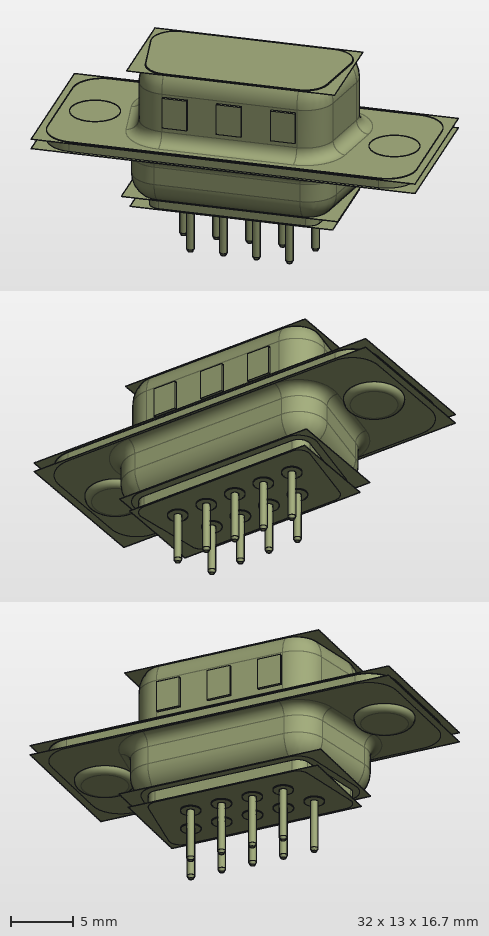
import cadquery as cq
import math

OVERALL_LENGTH = 32.03
OVERALL_HEIGHT = 16.72

FLANGE_LENGTH = 30.8
FLANGE_WIDTH = 12.52
FLANGE_THICKNESS = 0.9
FLANGE_CORNER = 2.5

SIDE_SLOPE = 10
SHELL_CORNER = 2.5

UPPER_LENGTH = 17.78
UPPER_WIDTH = 9.3
UPPER_TOP = 6.85
UPPER_ROUND_HEIGHT = 1.57
UPPER_ROUND_INSET = 0.55
UPPER_FILLET = 1.05

LOWER_LENGTH = 19.15
LOWER_WIDTH = 10.63
LOWER_BOTTOM = -4.23
LOWER_ROUND_HEIGHT = 1.75
LOWER_ROUND_INSET = 0.9
LOWER_FILLET = 0.93

FOOT_LENGTH = 16.27
FOOT_WIDTH = 7.75
FOOT_CORNER = 1.0
FOOT_BOTTOM = -5.3

SHEET_THICKNESS = 0.03
SHEET_STEP = 0.03
SHEET_RATIO = OVERALL_LENGTH / FLANGE_LENGTH

PAD_WIDTH = 2.05
PAD_HEIGHT = 2.63
PAD_BOTTOM = 2.4
PAD_PITCH = 4.52
PAD_COUNT = 3
PAD_RISE = 0.22

BOSS_OFFSET = 12.5
BOSS_POINTS = [(-BOSS_OFFSET, 0), (BOSS_OFFSET, 0)]
BOSS_RADIUS = 2.47
BOSS_HEIGHT = 0.58
BOSS_ROUND = 0.55
DIMPLE_RADIUS = 2.05
DIMPLE_DEPTH = 0.03

PIN_RADIUS = 0.32
PIN_BOTTOM = UPPER_TOP - OVERALL_HEIGHT
PIN_TIP_CHAMFER_LENGTH = 0.25
PIN_TIP_CHAMFER_INSET = 0.13
PIN_PITCH = 2.75
ROW_OFFSET = 1.45
WIDE_ROW_COUNT = 5
NARROW_ROW_COUNT = 4
SOCKET_TOP = LOWER_BOTTOM
COLLAR_RADIUS = 0.83
COLLAR_HEIGHT = 0.1


def d_outline(length, width, corner, z):
    """Closed D-shaped outline with rounded corners, starting at the middle of its narrow side."""
    slope = math.radians(SIDE_SLOPE)
    half_width = width / 2
    wide_x = length / 2 - corner
    wide_y = half_width - corner
    narrow_x = wide_x - 2 * wide_y * math.tan(slope)
    narrow_y = -wide_y

    def on_corner(x, y, angle):
        return (x + corner * math.cos(angle), y + corner * math.sin(angle))

    side = -slope
    narrow_mid = (side - math.pi / 2) / 2
    wide_mid = (side + math.pi / 2) / 2

    def mirrored(point):
        return (-point[0], point[1])

    narrow_arc_mid = on_corner(narrow_x, narrow_y, narrow_mid)
    narrow_arc_end = on_corner(narrow_x, narrow_y, side)
    wide_arc_start = on_corner(wide_x, wide_y, side)
    wide_arc_mid = on_corner(wide_x, wide_y, wide_mid)
    return (
        cq.Workplane("XY", origin=(0, 0, z))
        .moveTo(0, -half_width)
        .lineTo(narrow_x, -half_width)
        .threePointArc(narrow_arc_mid, narrow_arc_end)
        .lineTo(*wide_arc_start)
        .threePointArc(wide_arc_mid, (wide_x, half_width))
        .lineTo(-wide_x, half_width)
        .threePointArc(mirrored(wide_arc_mid), mirrored(wide_arc_start))
        .lineTo(*mirrored(narrow_arc_end))
        .threePointArc(mirrored(narrow_arc_mid), (-narrow_x, -half_width))
        .close()
    )


def d_shell(length, width, z_flange, z_end, round_height, round_inset):
    """D-shaped shell from the flange to z_end, its end edge rounded by an arc tangent to the wall."""
    direction = math.copysign(1, z_end - z_flange)
    shell = d_outline(length, width, SHELL_CORNER, z_flange).extrude(z_end - z_flange)

    z_tangent = z_end - direction * round_height
    arc_radius = (round_height**2 + round_inset**2) / (2 * round_inset)
    half_angle = math.asin(round_height / arc_radius) / 2
    wall_y = -width / 2
    arc_mid = (
        wall_y + arc_radius * (1 - math.cos(half_angle)),
        z_tangent + direction * arc_radius * math.sin(half_angle),
    )
    clearance = 0.32
    z_clear = z_end + direction * clearance
    waste = (
        cq.Workplane("YZ")
        .moveTo(wall_y, z_tangent)
        .threePointArc(arc_mid, (wall_y + round_inset, z_end))
        .lineTo(wall_y + round_inset, z_clear)
        .lineTo(wall_y - clearance, z_clear)
        .lineTo(wall_y - clearance, z_tangent)
        .close()
        .sweep(d_outline(length, width, SHELL_CORNER, z_tangent))
    )
    return shell.cut(waste)


def sheet(length, width, z_bottom):
    """Thin rectangular sheet around a flat face of the given length and width."""
    return (
        cq.Workplane("XY", origin=(0, 0, z_bottom))
        .rect(length * SHEET_RATIO, width * SHEET_RATIO)
        .extrude(SHEET_THICKNESS)
    )


def row_points(count, y):
    """Pin centres of one row, centred on X = 0."""
    return [((i - (count - 1) / 2) * PIN_PITCH, y) for i in range(count)]


PIN_POINTS = row_points(WIDE_ROW_COUNT, ROW_OFFSET) + row_points(NARROW_ROW_COUNT, -ROW_OFFSET)


def around_root(length, width, z):
    """Selector for the edges where a shell of the given size meets the flange at height z."""
    reach = 0.15
    return cq.selectors.BoxSelector(
        (-length / 2 - reach, -width / 2 - reach, z - reach),
        (length / 2 + reach, width / 2 + reach, z + reach),
    )


def make_flange_and_shells():
    flange = (
        cq.Workplane("XY")
        .box(FLANGE_LENGTH, FLANGE_WIDTH, FLANGE_THICKNESS, centered=(True, True, False))
        .edges("|Z")
        .fillet(FLANGE_CORNER)
    )
    upper = d_shell(
        UPPER_LENGTH, UPPER_WIDTH, FLANGE_THICKNESS, UPPER_TOP, UPPER_ROUND_HEIGHT, UPPER_ROUND_INSET
    )
    lower = d_shell(LOWER_LENGTH, LOWER_WIDTH, 0, LOWER_BOTTOM, LOWER_ROUND_HEIGHT, LOWER_ROUND_INSET)
    body = flange.union(upper).union(lower)
    body = body.edges(around_root(UPPER_LENGTH, UPPER_WIDTH, FLANGE_THICKNESS)).fillet(UPPER_FILLET)
    return body.edges(around_root(LOWER_LENGTH, LOWER_WIDTH, 0)).fillet(LOWER_FILLET)


def make_pads():
    pad = cq.Workplane("XY").box(
        PAD_WIDTH, UPPER_WIDTH + 2 * PAD_RISE, PAD_HEIGHT, centered=(True, True, False)
    )
    pads = cq.Workplane("XY")
    for i in range(PAD_COUNT):
        x = (i - (PAD_COUNT - 1) / 2) * PAD_PITCH
        pads = pads.union(pad.translate((x, 0, PAD_BOTTOM)))
    return pads


def make_bosses():
    return (
        cq.Workplane("XY")
        .pushPoints(BOSS_POINTS)
        .circle(BOSS_RADIUS)
        .extrude(-BOSS_HEIGHT)
        .edges("<Z")
        .fillet(BOSS_ROUND)
    )


def make_sheets():
    upper_drop = SHEET_STEP + SHEET_THICKNESS
    top_length = UPPER_LENGTH - 2 * UPPER_ROUND_INSET
    top_width = UPPER_WIDTH - 2 * UPPER_ROUND_INSET
    rear_length = LOWER_LENGTH - 2 * LOWER_ROUND_INSET
    rear_width = LOWER_WIDTH - 2 * LOWER_ROUND_INSET
    return (
        sheet(top_length, top_width, UPPER_TOP - upper_drop)
        .union(sheet(FLANGE_LENGTH, FLANGE_WIDTH, FLANGE_THICKNESS - upper_drop))
        .union(sheet(FLANGE_LENGTH, FLANGE_WIDTH, 0))
        .union(sheet(rear_length, rear_width, LOWER_BOTTOM))
        .union(sheet(FOOT_LENGTH, FOOT_WIDTH, FOOT_BOTTOM))
    )


def make_housing():
    foot_height = LOWER_BOTTOM - FOOT_BOTTOM
    foot = d_outline(FOOT_LENGTH, FOOT_WIDTH, FOOT_CORNER, FOOT_BOTTOM).extrude(foot_height)
    collars = (
        cq.Workplane("XY", origin=(0, 0, FOOT_BOTTOM))
        .pushPoints(PIN_POINTS)
        .circle(COLLAR_RADIUS)
        .extrude(-COLLAR_HEIGHT)
    )
    dimples = (
        cq.Workplane("XY", origin=(0, 0, FLANGE_THICKNESS))
        .pushPoints(BOSS_POINTS)
        .circle(DIMPLE_RADIUS)
        .extrude(-DIMPLE_DEPTH)
    )
    sockets = (
        cq.Workplane("XY", origin=(0, 0, SOCKET_TOP))
        .pushPoints(PIN_POINTS)
        .circle(PIN_RADIUS)
        .extrude(FOOT_BOTTOM - COLLAR_HEIGHT - SOCKET_TOP)
    )
    housing = make_flange_and_shells()
    for addition in (make_pads(), make_bosses(), make_sheets(), foot, collars):
        housing = housing.union(addition)
    return housing.cut(dimples).cut(sockets)


def make_pin(x, y):
    """Pin from the inner end of its socket to its tapered tip."""
    return (
        cq.Workplane("XY", origin=(x, y, PIN_BOTTOM))
        .circle(PIN_RADIUS)
        .extrude(SOCKET_TOP - PIN_BOTTOM)
        .faces("<Z")
        .edges()
        .chamfer(PIN_TIP_CHAMFER_LENGTH, PIN_TIP_CHAMFER_INSET)
    )


housing = make_housing()
pins = [make_pin(x, y) for x, y in PIN_POINTS]

result = cq.Compound.makeCompound([housing.val(), *[pin.val() for pin in pins]])